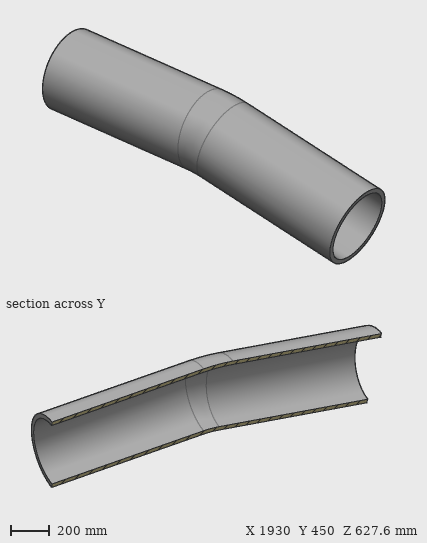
import cadquery as cq
import math

overall_length = 1930.0
outer_diameter = 450.0
bore_diameter = 397.0
bend_angle = 11.0
bend_radius = 1.5 * outer_diameter

angle = math.radians(bend_angle)
bend_top_reach = (bend_radius + outer_diameter / 2) * math.sin(angle)
leg_length = (overall_length - bend_top_reach) / (1 + math.cos(angle))


def bend_point(turn):
    """Point on the centreline arc after turning down by the given angle."""
    return (
        leg_length + bend_radius * math.sin(turn),
        -bend_radius * (1 - math.cos(turn)),
    )


bend_end = bend_point(angle)
path_end = (
    bend_end[0] + leg_length * math.cos(angle),
    bend_end[1] - leg_length * math.sin(angle),
)
centreline = (
    cq.Workplane("XZ")
    .lineTo(leg_length, 0)
    .threePointArc(bend_point(angle / 2), bend_end)
    .lineTo(*path_end)
)

pipe_section = cq.Workplane("YZ").circle(outer_diameter / 2).circle(bore_diameter / 2)
result = pipe_section.sweep(centreline)